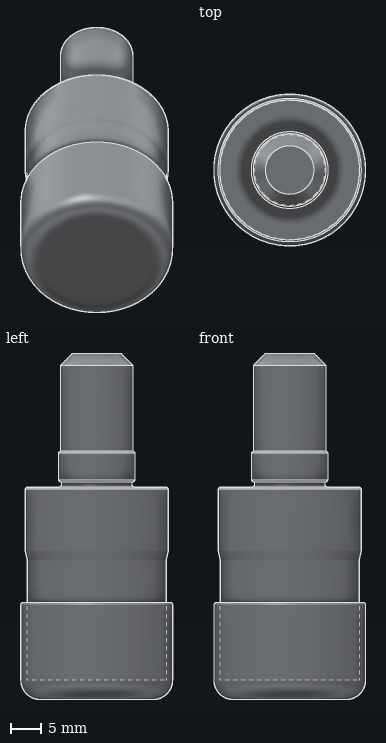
import cadquery as cq
import math

total_height = 57.0
stud_radius = 6.0
tip_chamfer = 2.0
collar_radius = 6.3
collar_top = 40.9
collar_bottom = 35.8
collar_chamfer = collar_radius - stud_radius
relief_radius = 5.8
shoulder_top = 35.0
relief_fillet = 0.4
shoulder_radius = 11.8
shoulder_chamfer = 0.3
shoulder_bottom = 24.5
neck_radius = 11.45
neck_top = 22.95

cap_radius = 12.51
cap_height = 16.0
rim_fillet = 0.45
floor_fillet = 3.25
floor_thickness = floor_fillet

diagonal = math.sqrt(0.5)


def revolve_profile(profile):
    """Turn a closed radius-height profile around the Z axis."""
    return profile.close().revolve(360, (0, 0, 0), (0, 1, 0))


def make_plunger():
    fillet_mid_offset = relief_fillet * (1 - diagonal)
    profile = (
        cq.Workplane("XZ")
        .moveTo(0, floor_thickness)
        .lineTo(neck_radius, floor_thickness)
        .lineTo(neck_radius, neck_top)
        .lineTo(shoulder_radius, shoulder_bottom)
        .lineTo(shoulder_radius, shoulder_top - shoulder_chamfer)
        .lineTo(shoulder_radius - shoulder_chamfer, shoulder_top)
        .lineTo(relief_radius + relief_fillet, shoulder_top)
        .threePointArc(
            (relief_radius + fillet_mid_offset, shoulder_top + fillet_mid_offset),
            (relief_radius, shoulder_top + relief_fillet),
        )
        .lineTo(relief_radius, collar_bottom)
        .lineTo(stud_radius, collar_bottom)
        .lineTo(collar_radius, collar_bottom + collar_chamfer)
        .lineTo(collar_radius, collar_top - collar_chamfer)
        .lineTo(stud_radius, collar_top)
        .lineTo(stud_radius, total_height - tip_chamfer)
        .lineTo(stud_radius - tip_chamfer, total_height)
        .lineTo(0, total_height)
    )
    return revolve_profile(profile)


def make_cap():
    cap = cq.Workplane("XY").circle(cap_radius).extrude(cap_height)
    cap = cap.faces("<Z").edges().fillet(floor_fillet)
    cap = cap.faces(">Z").edges().fillet(rim_fillet)
    recess_depth = cap_height - floor_thickness
    recess = cq.Workplane("XY").workplane(offset=floor_thickness).circle(neck_radius).extrude(recess_depth)
    return cap.cut(recess)


plunger = make_plunger()
cap = make_cap()

result = cq.Compound.makeCompound([plunger.val(), cap.val()])